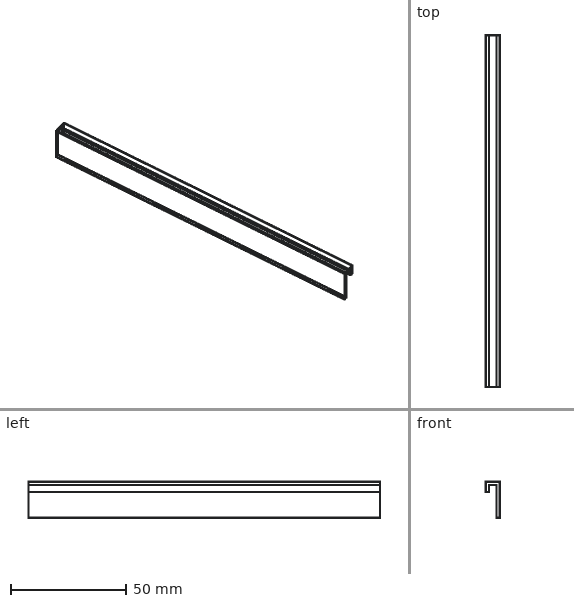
import cadquery as cq

length = 152.4
width = 6.1
height = 15.7
wall = 1.5
lip_height = 4.5

right = width / 2
left = -right
top = height / 2
bottom = -top

profile = [
    (left, top),
    (right, top),
    (right, bottom),
    (right - wall, bottom),
    (right - wall, top - wall),
    (left + wall, top - wall),
    (left + wall, top - lip_height),
    (left, top - lip_height),
]

result = cq.Workplane("XZ").polyline(profile).close().extrude(length / 2, both=True)